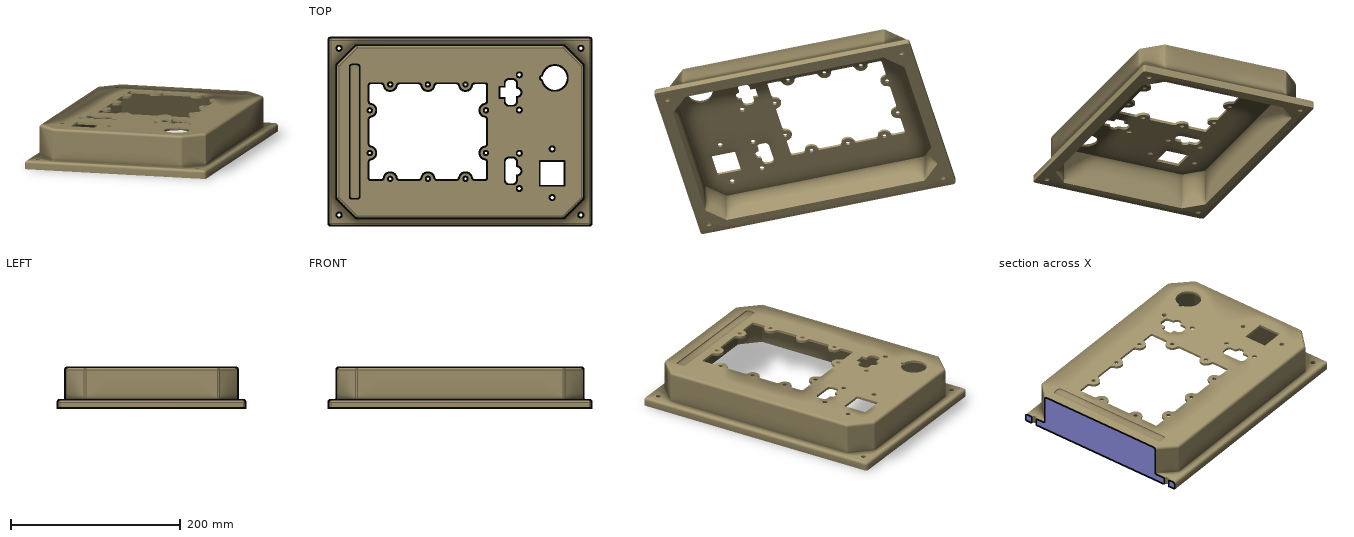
import cadquery as cq
import math

LENGTH = 311.5
WIDTH = 222.8
HEIGHT = 48.3
PLATE_THICKNESS = 3.0
SIDE_WALL = 5.0
EDGE_RADIUS = 3.0

FLANGE_HEIGHT = 10.0
FLANGE_HOLE_INSET = 12.8
SCREW_DIAMETER = 6.0

BOX_LENGTH = 293.0
BOX_WIDTH = 205.0
CORNER_CUT = 23.5
FOOT_RADIUS = 1.0

WINDOW_X = -38.0
WINDOW_LENGTH = 140.0
WINDOW_WIDTH = 114.0
WINDOW_CORNER_RADIUS = 2.0
LUG_RADIUS = 7.8
LUG_ROOT_RADIUS = 3.0
LUG_HOLE_DIAMETER = 5.0
LUG_INSET = 1.2
LUG_PITCH_X = 44.5
LUG_SPAN_Y = 50.5

LABEL_X = -124.5
LABEL_LENGTH = 159.0
LABEL_WIDTH = 12.0
LABEL_CORNER_RADIUS = 3.0
LABEL_DEPTH = 1.5

CONNECTOR_X = 60.0
CONNECTOR_Y = 46.5
CONNECTOR_LENGTH = 31.5
CONNECTOR_WIDTH = 14.3
CONNECTOR_CORNER_RADIUS = 5.0
CONNECTOR_NUB_RADIUS = 5.3
CONNECTOR_SCREW_X = 70.0
CONNECTOR_SCREW_PITCH = 41.8
LATCH_DEPTH = 6.2
LATCH_WIDTH = 13.0

ROUND_X = 112.2
ROUND_Y = 63.5
ROUND_DIAMETER = 30.2
KEY_RADIUS = 2.5

SQUARE_X = 109.0
SQUARE_Y = -49.2
SQUARE_SIDE = 29.0
SQUARE_SCREW_PITCH = 57.5

PICK_MARGIN = 0.3


def block(length, width, bottom, top, x=0.0, y=0.0):
    """Rectangular block centred on (x, y) between two heights."""
    return cq.Workplane("XY", origin=(x, y, bottom)).rect(length, width).extrude(top - bottom)


def plate_pin(diameter, points):
    """Cylinders through the top plate at the given points."""
    plate = cq.Workplane("XY", origin=(0, 0, HEIGHT - PLATE_THICKNESS))
    return plate.pushPoints(points).circle(diameter / 2).extrude(PLATE_THICKNESS)


def plate_block(length, width, x, y):
    """Rectangular block through the top plate."""
    return block(length, width, HEIGHT - PLATE_THICKNESS, HEIGHT, x, y)


def make_shell():
    """Hollow box with cut corners standing on a rectangular flange."""
    flange = block(LENGTH, WIDTH, 0, FLANGE_HEIGHT)
    flange = flange.edges("|Z").fillet(EDGE_RADIUS).faces(">Z").edges().fillet(EDGE_RADIUS)

    box = block(BOX_LENGTH, BOX_WIDTH, 0, HEIGHT).edges("|Z").chamfer(CORNER_CUT)
    box = box.edges("|Z").fillet(EDGE_RADIUS).faces(">Z").edges().fillet(EDGE_RADIUS)

    cavity_cut = CORNER_CUT - SIDE_WALL * (2 - math.sqrt(2))
    cavity = block(BOX_LENGTH - 2 * SIDE_WALL, BOX_WIDTH - 2 * SIDE_WALL, 0, HEIGHT - PLATE_THICKNESS)
    cavity = cavity.edges("|Z").chamfer(cavity_cut)

    reach_x = BOX_LENGTH / 2 + PICK_MARGIN
    reach_y = BOX_WIDTH / 2 + PICK_MARGIN
    foot_edges = cq.selectors.BoxSelector(
        (-reach_x, -reach_y, FLANGE_HEIGHT - PICK_MARGIN),
        (reach_x, reach_y, FLANGE_HEIGHT + PICK_MARGIN),
        boundingbox=True,
    )
    return flange.union(box).edges(foot_edges).fillet(FOOT_RADIUS).cut(cavity)


def make_flange_holes():
    """Screw holes in the four corners of the flange."""
    return (
        cq.Workplane("XY")
        .rect(LENGTH - 2 * FLANGE_HOLE_INSET, WIDTH - 2 * FLANGE_HOLE_INSET, forConstruction=True)
        .vertices()
        .circle(SCREW_DIAMETER / 2)
        .extrude(FLANGE_HEIGHT)
    )


def make_window():
    """Window opening with its lugs left standing, plus the lug screw holes."""
    lug_x = WINDOW_LENGTH / 2 - LUG_INSET
    lug_y = WINDOW_WIDTH / 2 - LUG_INSET
    root_reach = math.sqrt(LUG_RADIUS**2 - LUG_INSET**2)

    lugs = []
    roots = []
    for side in (-1, 1):
        rim_x = WINDOW_X + side * WINDOW_LENGTH / 2
        rim_y = side * WINDOW_WIDTH / 2
        for step in (-1, 0, 1):
            x = WINDOW_X + step * LUG_PITCH_X
            lugs.append((x, side * lug_y))
            roots += [(x - root_reach, rim_y), (x + root_reach, rim_y)]
        for end in (-1, 1):
            y = end * LUG_SPAN_Y / 2
            lugs.append((WINDOW_X + side * lug_x, y))
            roots += [(rim_x, y - root_reach), (rim_x, y + root_reach)]

    opening = plate_block(WINDOW_LENGTH, WINDOW_WIDTH, WINDOW_X, 0)
    opening = opening.edges("|Z").fillet(WINDOW_CORNER_RADIUS)
    opening = opening.cut(plate_pin(2 * LUG_RADIUS, lugs))

    root_edges = None
    for x, y in roots:
        near_root = cq.selectors.BoxSelector(
            (x - PICK_MARGIN, y - PICK_MARGIN, 0),
            (x + PICK_MARGIN, y + PICK_MARGIN, HEIGHT),
        )
        root_edges = near_root if root_edges is None else root_edges + near_root
    opening = opening.edges("|Z").edges(root_edges).fillet(LUG_ROOT_RADIUS)
    return opening.union(plate_pin(LUG_HOLE_DIAMETER, lugs))


def make_label_recess():
    """Long shallow recess with rounded corners near the -X end."""
    recess = block(LABEL_WIDTH, LABEL_LENGTH, HEIGHT - LABEL_DEPTH, HEIGHT, LABEL_X)
    return recess.edges("|Z").fillet(LABEL_CORNER_RADIUS)


def make_connector(y):
    """Rounded connector opening with a nub on its +X side and two screw holes."""
    opening = plate_block(CONNECTOR_WIDTH, CONNECTOR_LENGTH, CONNECTOR_X, y)
    opening = opening.edges("|Z").fillet(CONNECTOR_CORNER_RADIUS)
    nub = plate_pin(2 * CONNECTOR_NUB_RADIUS, [(CONNECTOR_X + CONNECTOR_WIDTH / 2, y)])
    screws = [(CONNECTOR_SCREW_X, y + side * CONNECTOR_SCREW_PITCH / 2) for side in (-1, 1)]
    return opening.union(nub).union(plate_pin(SCREW_DIAMETER, screws))


def make_latch():
    """Rectangular notch on the -X side of the +Y connector opening."""
    x_edge = CONNECTOR_X - CONNECTOR_WIDTH / 2
    return plate_block(2 * LATCH_DEPTH, LATCH_WIDTH, x_edge, CONNECTOR_Y)


def make_round_opening():
    """Round opening with a small key notch on its -X side."""
    key = plate_pin(2 * KEY_RADIUS, [(ROUND_X - ROUND_DIAMETER / 2, ROUND_Y)])
    return plate_pin(ROUND_DIAMETER, [(ROUND_X, ROUND_Y)]).union(key)


def make_square_opening():
    """Square opening with a screw hole on either side along Y."""
    screws = [(SQUARE_X, SQUARE_Y + side * SQUARE_SCREW_PITCH / 2) for side in (-1, 1)]
    opening = plate_block(SQUARE_SIDE, SQUARE_SIDE, SQUARE_X, SQUARE_Y)
    return opening.union(plate_pin(SCREW_DIAMETER, screws))


result = (
    make_shell()
    .cut(make_flange_holes())
    .cut(make_window())
    .cut(make_label_recess())
    .cut(make_connector(CONNECTOR_Y))
    .cut(make_connector(-CONNECTOR_Y))
    .cut(make_latch())
    .cut(make_round_opening())
    .cut(make_square_opening())
)